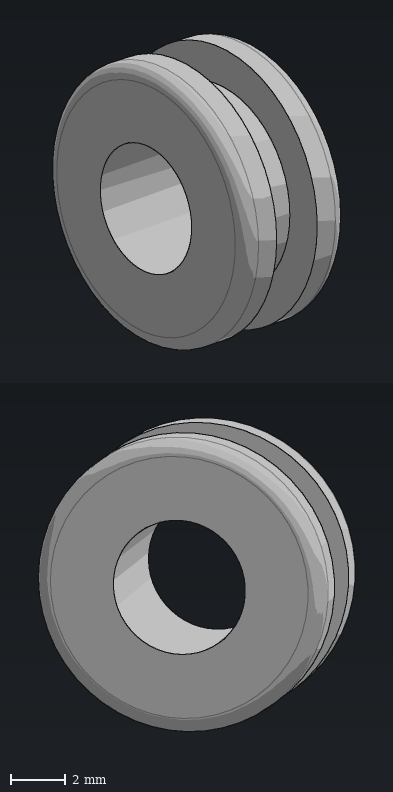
import cadquery as cq

flange_diameter = 11.0
neck_diameter = 8.0
bore_diameter = 5.0
total_width = 5.0
groove_width = 2.0
edge_radius = 0.6

flange_thickness = (total_width - groove_width) / 2


def disc(diameter, start_y, thickness):
    """Solid disc about the Y axis, extending toward +Y from start_y."""
    return cq.Workplane("XZ").workplane(offset=-start_y).circle(diameter / 2).extrude(-thickness)


front_flange = disc(flange_diameter, -total_width / 2, flange_thickness)
front_flange = front_flange.faces("<Y").edges().fillet(edge_radius)
back_flange = front_flange.mirror("XZ")

neck = disc(neck_diameter, -total_width / 2 + edge_radius, total_width - 2 * edge_radius)
bore = disc(bore_diameter, -total_width / 2, total_width)

result = front_flange.union(neck).union(back_flange).cut(bore)